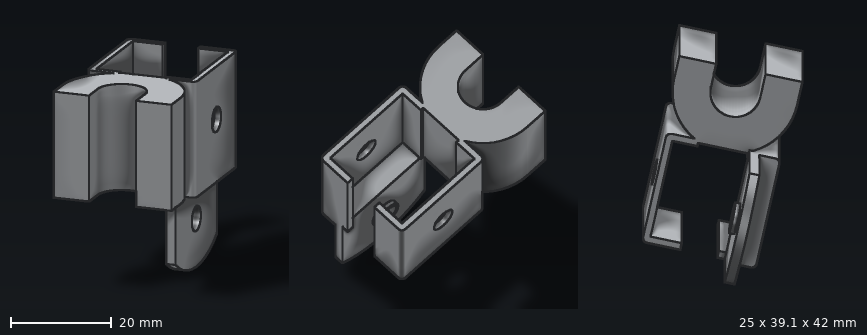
import cadquery as cq

clip_bore_radius = 5.0
clip_outer_radius = 12.5
clip_leg_length = 5.0
height = 22.0

overall_depth = 39.05
channel_width = 23.05
channel_depth = channel_width
channel_wall = 1.425
channel_corner_radius = 1.0
back_gap_width = 7.5
channel_back = overall_depth - clip_leg_length
channel_front = channel_back - channel_depth
channel_middle = channel_back - channel_depth / 2

recess_depth = 0.675
recess_width = 2 * clip_bore_radius

tab_thickness = 2.0
tab_inner_x = 5.25
tab_length = 20.0
tab_tip_radius = 20.0

hole_diameter = 5.1
collar_diameter = 6.2
collar_length = 1.0
channel_hole_z = height / 2
tab_hole_z = -tab_length / 2


def box_between(x_range, y_range, z_range):
    """Axis-aligned block spanning the three (low, high) ranges."""
    lows, highs = zip(x_range, y_range, z_range)
    sizes = [high - low for low, high in zip(lows, highs)]
    return cq.Workplane("XY").box(*sizes, centered=False).translate(lows)


def rod_along_x(diameter, x_start, x_end, z):
    """Cylinder along X at the middle of the channel's depth."""
    return (
        cq.Workplane("YZ", origin=(x_start, channel_middle, z))
        .circle(diameter / 2)
        .extrude(x_end - x_start)
    )


def rounded_block(bottom_z, thickness):
    """Block with the channel's outer outline and rounded vertical edges."""
    return (
        cq.Workplane("XY", origin=(0, channel_middle, bottom_z))
        .rect(channel_width, channel_depth)
        .extrude(thickness)
        .edges("|Z")
        .fillet(channel_corner_radius)
    )


def make_clip():
    """Half-ring with straight legs toward -Y."""
    return (
        cq.Workplane("XY")
        .moveTo(-clip_outer_radius, -clip_leg_length)
        .lineTo(-clip_outer_radius, 0)
        .threePointArc((0, clip_outer_radius), (clip_outer_radius, 0))
        .lineTo(clip_outer_radius, -clip_leg_length)
        .lineTo(clip_bore_radius, -clip_leg_length)
        .lineTo(clip_bore_radius, 0)
        .threePointArc((0, clip_bore_radius), (-clip_bore_radius, 0))
        .lineTo(-clip_bore_radius, -clip_leg_length)
        .close()
        .extrude(height)
    )


def make_clip_and_channel():
    """Clip joined to the channel, with the channel's interior, gap and holes cut."""
    half_inner = channel_width / 2 - channel_wall
    inner_front = channel_front + channel_wall
    inner_back = channel_back - channel_wall
    full_height = (0, height)
    interior = box_between((-half_inner, half_inner), (inner_front, inner_back), full_height)
    recess = box_between(
        (-recess_width / 2, recess_width / 2),
        (inner_front - recess_depth, channel_middle),
        full_height,
    )
    back_gap = box_between(
        (-back_gap_width / 2, back_gap_width / 2),
        (channel_middle, channel_back),
        full_height,
    )
    cross_hole = rod_along_x(hole_diameter, -channel_width / 2, channel_width / 2, channel_hole_z)
    body = make_clip().union(rounded_block(0, height))
    return body.cut(interior).cut(recess).cut(back_gap).cut(cross_hole)


def make_tab():
    """Horizontal leg under the channel's +X wall and a vertical leg with a round tip."""
    depth_range = (channel_front, channel_back)
    leg_region = box_between((tab_inner_x, channel_width / 2), depth_range, (-tab_thickness, 0))
    horizontal_leg = rounded_block(-tab_thickness, tab_thickness).intersect(leg_region)

    tab_outer_x = tab_inner_x + tab_thickness
    vertical_leg = box_between((tab_inner_x, tab_outer_x), depth_range, (-tab_length, 0))
    tip_disc = rod_along_x(
        2 * tab_tip_radius, tab_inner_x, tab_outer_x, tab_tip_radius - tab_length
    )
    vertical_leg = vertical_leg.intersect(tip_disc)

    collar_end_x = tab_inner_x - collar_length
    collar = rod_along_x(collar_diameter, collar_end_x, tab_inner_x, tab_hole_z)
    hole = rod_along_x(hole_diameter, collar_end_x, tab_outer_x, tab_hole_z)
    return horizontal_leg.union(vertical_leg).union(collar).cut(hole)


result = make_clip_and_channel().union(make_tab())